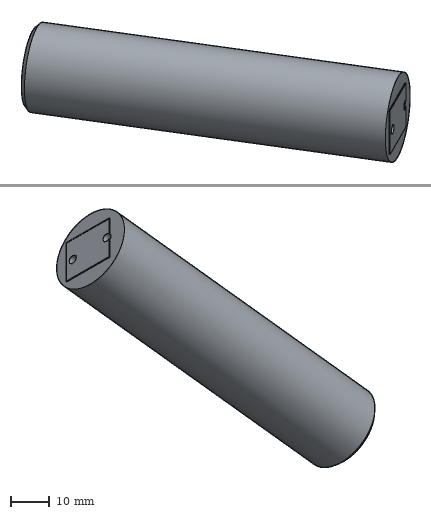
import cadquery as cq
import math

overall_length = 100.0
body_diameter = 24.0
chamfer_size = 1.2

channel_diameter = 2.5
channel_circle_radius = 6.0
channel_start_angle = 6.0
channel_twist = 280.0
channel_count = 2

pad_height = 0.3
pad_y_min = -8.4
pad_y_max = 6.9
pad_width_z = 13.2

body_length = overall_length - pad_height
body_start = -overall_length / 2
body_end = body_start + body_length


def make_body():
    """Cylinder along X, chamfered at its -X end."""
    end_plane = cq.Workplane("YZ", origin=(body_start, 0, 0))
    cylinder = end_plane.circle(body_diameter / 2).extrude(body_length)
    return cylinder.faces("<X").chamfer(chamfer_size)


def make_pad():
    """Rectangular pad standing on the +X end face."""
    pad_plane = cq.Workplane("YZ", origin=(body_end, (pad_y_min + pad_y_max) / 2, 0))
    return pad_plane.rect(pad_y_max - pad_y_min, pad_width_z).extrude(pad_height)


def make_channels():
    """Round channels that twist about the rod axis from end to end."""
    centers = []
    for index in range(channel_count):
        angle = math.radians(channel_start_angle + index * 360 / channel_count)
        centers.append((channel_circle_radius * math.sin(angle), channel_circle_radius * math.cos(angle)))
    end_plane = cq.Workplane("YZ", origin=(body_start, 0, 0))
    circles = end_plane.pushPoints(centers).circle(channel_diameter / 2)
    return circles.twistExtrude(overall_length, channel_twist)


result = make_body().union(make_pad()).cut(make_channels())